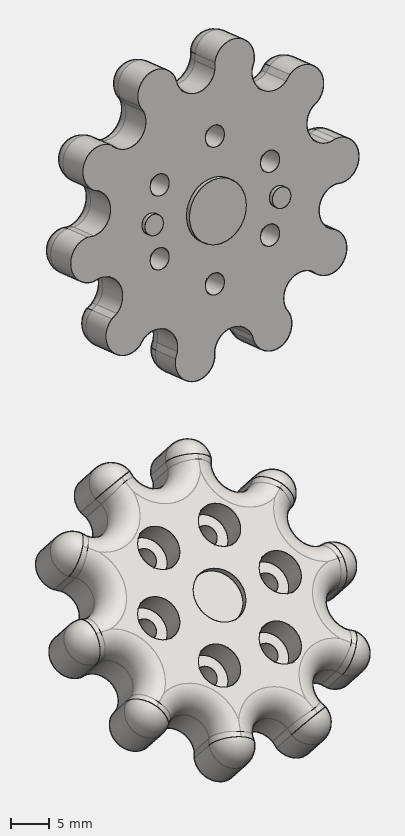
import cadquery as cq
import math


OVERALL_SIZE = 45.3
BODY_THICKNESS = 7.65
LOBE_COUNT = 10
FIRST_LOBE_ANGLE = 9.0

BOLT_COUNT = 6
BOLT_CIRCLE_RADIUS = 10.0
FIRST_BOLT_ANGLE = 30.0
BOLT_HOLE_DIAMETER = 3.0
COUNTERBORE_DIAMETER = 6.0
COUNTERBORE_DEPTH = 3.85

RECESS_DIAMETER = 7.5
RECESS_DEPTH = 0.9

BACK_PAD_HEIGHT = 0.7
BOSS_DIAMETER = 8.9
PIN_DIAMETER = 2.9
PIN_ANGLES = (0.0, 180.0)

LOBE_PITCH = 360.0 / LOBE_COUNT
FLANK_ANGLE = LOBE_PITCH / 4
FLANK_COS = math.cos(math.radians(FLANK_ANGLE))
FLANK_TAN = math.tan(math.radians(FLANK_ANGLE))
FIRST_LOBE_COS = math.cos(math.radians(FIRST_LOBE_ANGLE))
CENTRE_CIRCLE_RADIUS = OVERALL_SIZE / 2 / (FIRST_LOBE_COS + FLANK_TAN)
ARC_RADIUS = CENTRE_CIRCLE_RADIUS * FLANK_TAN
EDGE_RADIUS = ARC_RADIUS

FLANK_OUTER_RADIUS = CENTRE_CIRCLE_RADIUS / FLANK_COS
FLANK_INNER_RADIUS = 2 * CENTRE_CIRCLE_RADIUS * FLANK_COS - FLANK_OUTER_RADIUS
NECK_LENGTH = ARC_RADIUS

ROUND_MIDPOINT = EDGE_RADIUS * (1 - math.sqrt(0.5))


def polar(radius, angle):
    """Point (Y, Z) at a radius and an angle in degrees from +Y."""
    return (radius * math.cos(math.radians(angle)), radius * math.sin(math.radians(angle)))


def circle_points(angles):
    """Points (Y, Z) on the bolt circle at the given angles."""
    return [polar(BOLT_CIRCLE_RADIUS, angle) for angle in angles]


def cylinder(diameter, start, length, centres=((0, 0),)):
    """Cylinders along +X from X = start, one at each (Y, Z) centre."""
    plane = cq.Workplane("YZ", origin=(start, 0, 0))
    return plane.pushPoints(list(centres)).circle(diameter / 2).extrude(length)


def at_angle(shape, angle):
    """Turn a shape about the X axis, from +Y towards +Z."""
    return shape.rotate((0, 0, 0), (1, 0, 0), angle)


def make_lobe():
    """Half-round finger end with a ball front, on the +Y axis."""
    profile = (
        cq.Workplane("XY", origin=(0, CENTRE_CIRCLE_RADIUS, 0))
        .lineTo(BODY_THICKNESS, 0)
        .lineTo(BODY_THICKNESS, ARC_RADIUS)
        .lineTo(EDGE_RADIUS, ARC_RADIUS)
        .threePointArc((ROUND_MIDPOINT, ARC_RADIUS - ROUND_MIDPOINT), (0, 0))
        .close()
    )
    half_turn = profile.revolve(180, (0, 0, 0), (1, 0, 0))
    return half_turn.rotate(
        (0, CENTRE_CIRCLE_RADIUS, 0), (1, CENTRE_CIRCLE_RADIUS, 0), -90
    )


def make_neck():
    """Tapered stem between two flanks, front edges rounded, on the +Y axis."""
    width = 3 * ARC_RADIUS
    flank_bar = (
        cq.Workplane("XZ")
        .moveTo(EDGE_RADIUS, 0)
        .threePointArc((ROUND_MIDPOINT, -ROUND_MIDPOINT), (0, -EDGE_RADIUS))
        .lineTo(0, -width)
        .lineTo(BODY_THICKNESS, -width)
        .lineTo(BODY_THICKNESS, 0)
        .close()
        .extrude(-OVERALL_SIZE / 2)
    )
    upper = at_angle(flank_bar, FLANK_ANGLE)
    lower = upper.mirror("XY")
    span = cq.Workplane("XY", origin=(0, CENTRE_CIRCLE_RADIUS - NECK_LENGTH, 0)).box(
        BODY_THICKNESS, NECK_LENGTH, 2 * width, centered=(False, False, True)
    )
    return upper.intersect(lower).intersect(span)


def make_valley_cutter():
    """Cutter on the +Y axis for a round valley with a rounded front edge."""
    profile = (
        cq.Workplane("XY", origin=(0, CENTRE_CIRCLE_RADIUS, 0))
        .lineTo(0, ARC_RADIUS + EDGE_RADIUS)
        .threePointArc(
            (ROUND_MIDPOINT, ARC_RADIUS + ROUND_MIDPOINT), (EDGE_RADIUS, ARC_RADIUS)
        )
        .lineTo(BODY_THICKNESS, ARC_RADIUS)
        .lineTo(BODY_THICKNESS, 0)
        .close()
    )
    return profile.revolve(360, (0, 0, 0), (1, 0, 0))


def make_body():
    """Hub with the valleys cut in and a neck and lobe between each pair."""
    body = cylinder(2 * FLANK_INNER_RADIUS, 0, BODY_THICKNESS)
    lobe_angles = [FIRST_LOBE_ANGLE + index * LOBE_PITCH for index in range(LOBE_COUNT)]
    for angle in lobe_angles:
        body = body.cut(at_angle(make_valley_cutter(), angle + LOBE_PITCH / 2))
    finger = make_neck().union(make_lobe())
    for angle in lobe_angles:
        body = body.union(at_angle(finger, angle))
    return body


bolt_angles = [FIRST_BOLT_ANGLE + index * 360.0 / BOLT_COUNT for index in range(BOLT_COUNT)]
bolt_centres = circle_points(bolt_angles)

result = make_body()

result = result.union(cylinder(BOSS_DIAMETER, BODY_THICKNESS, BACK_PAD_HEIGHT))
result = result.union(
    cylinder(PIN_DIAMETER, BODY_THICKNESS, BACK_PAD_HEIGHT, circle_points(PIN_ANGLES))
)

result = result.cut(cylinder(BOLT_HOLE_DIAMETER, 0, BODY_THICKNESS, bolt_centres))
result = result.cut(cylinder(COUNTERBORE_DIAMETER, 0, COUNTERBORE_DEPTH, bolt_centres))
result = result.cut(cylinder(RECESS_DIAMETER, 0, RECESS_DEPTH))